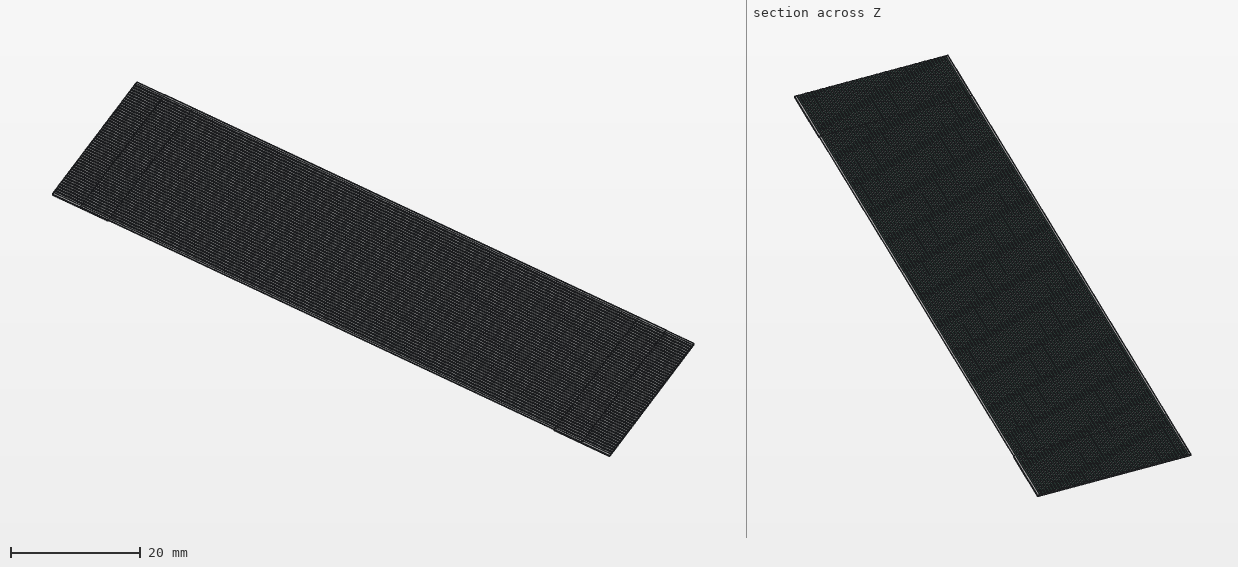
import cadquery as cq


length = 100.0
height = 0.36
pitch = 0.5
conductor_count = 50
width = pitch * (conductor_count + 1)

conductor_width = 0.3
conductor_thickness = 0.04
film_thickness = 0.05
contact_length = 5.0
upper_film_length = length - 2 * contact_length

stiffener_length = 10.0
stiffener_thickness = height - 2 * film_thickness - conductor_thickness

lower_film_bottom = stiffener_thickness
conductor_bottom = lower_film_bottom + film_thickness
upper_film_bottom = conductor_bottom + conductor_thickness


def sheet(x_center, x_size, z_bottom, thickness):
    """Full-width layer whose underside lies at z_bottom."""
    return cq.Workplane("XY", origin=(x_center, 0, z_bottom)).rect(x_size, width).extrude(thickness)


lower_film = sheet(0, length, lower_film_bottom, film_thickness)
upper_film = sheet(0, upper_film_length, upper_film_bottom, film_thickness)

conductors = (
    cq.Workplane("XY", origin=(0, 0, conductor_bottom))
    .rarray(length, pitch, 1, conductor_count)
    .rect(length, conductor_width)
    .extrude(conductor_thickness)
)

result = lower_film.union(conductors).union(upper_film)

for end in (-1, 1):
    stiffener_center = end * (length - stiffener_length) / 2
    result = result.union(sheet(stiffener_center, stiffener_length, 0, stiffener_thickness))